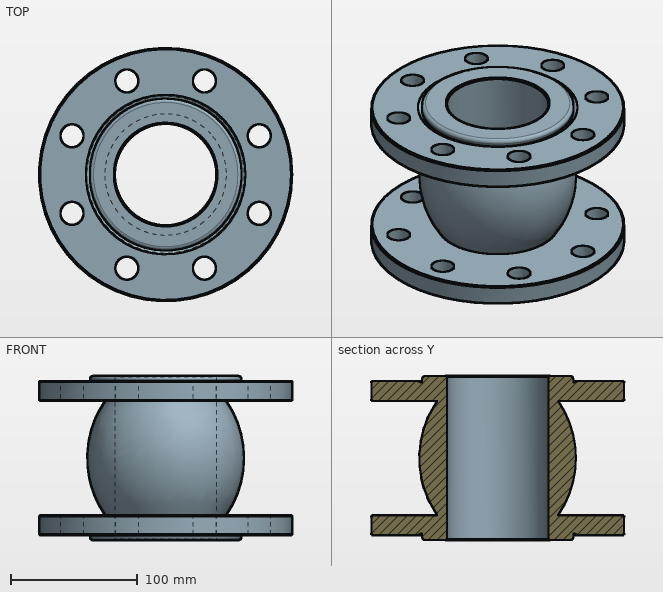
import cadquery as cq


length = 130.0
bore_diameter = 80.0
bore_chamfer = 1.0

flange_diameter = 200.0
flange_thickness = 16.0
flange_edge_chamfer = 1.0
bolt_count = 8
bolt_hole_diameter = 18.0
bolt_circle_diameter = 160.0

collar_diameter = 120.0
collar_height = 4.0
collar_fillet = 3.0
groove_width = 3.0
groove_depth = 1.4

body_end_radius = 48.0
body_middle_radius = 62.0

half_length = length / 2
bore_radius = bore_diameter / 2
collar_radius = collar_diameter / 2
flange_outer_z = half_length - collar_height
flange_inner_z = flange_outer_z - flange_thickness


def make_body():
    """Barrel-shaped body, revolved from an arc that bulges at mid-length."""
    return (
        cq.Workplane("XZ")
        .moveTo(0, -flange_inner_z)
        .lineTo(body_end_radius, -flange_inner_z)
        .threePointArc((body_middle_radius, 0), (body_end_radius, flange_inner_z))
        .lineTo(0, flange_inner_z)
        .close()
        .revolve(360, (0, 0, 0), (0, 1, 0))
    )


def make_bolt_holes():
    """Cutters for the bolt circle, with the holes straddling the X and Y axes."""
    half_pitch = 180 / bolt_count
    return (
        cq.Workplane("XY")
        .workplane(offset=flange_inner_z)
        .polarArray(bolt_circle_diameter / 2, half_pitch, 360, bolt_count)
        .circle(bolt_hole_diameter / 2)
        .extrude(flange_thickness)
    )


def make_groove():
    """Ring cutter that bevels the flange face down to the foot of the collar."""
    return (
        cq.Workplane("XZ")
        .moveTo(collar_radius, flange_outer_z)
        .lineTo(collar_radius + groove_width, flange_outer_z)
        .lineTo(collar_radius, flange_outer_z - groove_depth)
        .close()
        .revolve(360, (0, 0, 0), (0, 1, 0))
    )


def make_upper_end():
    """Upper flange with its bolt holes, bevelled groove and sealing collar."""
    flange = (
        cq.Workplane("XY")
        .workplane(offset=flange_inner_z)
        .circle(flange_diameter / 2)
        .extrude(flange_thickness)
        .edges()
        .chamfer(flange_edge_chamfer)
    )
    collar = (
        cq.Workplane("XY")
        .workplane(offset=flange_inner_z)
        .circle(collar_radius)
        .extrude(flange_thickness + collar_height)
        .faces(">Z")
        .edges()
        .fillet(collar_fillet)
    )
    return flange.cut(make_bolt_holes()).cut(make_groove()).union(collar)


def make_bore():
    """Through-bore cutter, flared at both ends to chamfer the bore mouths."""
    mouth_radius = bore_radius + bore_chamfer
    chamfer_z = half_length - bore_chamfer
    return (
        cq.Workplane("XZ")
        .moveTo(0, -half_length)
        .lineTo(mouth_radius, -half_length)
        .lineTo(bore_radius, -chamfer_z)
        .lineTo(bore_radius, chamfer_z)
        .lineTo(mouth_radius, half_length)
        .lineTo(0, half_length)
        .close()
        .revolve(360, (0, 0, 0), (0, 1, 0))
    )


upper_end = make_upper_end()
lower_end = upper_end.mirror("XY")
result = make_body().union(upper_end).union(lower_end).cut(make_bore())